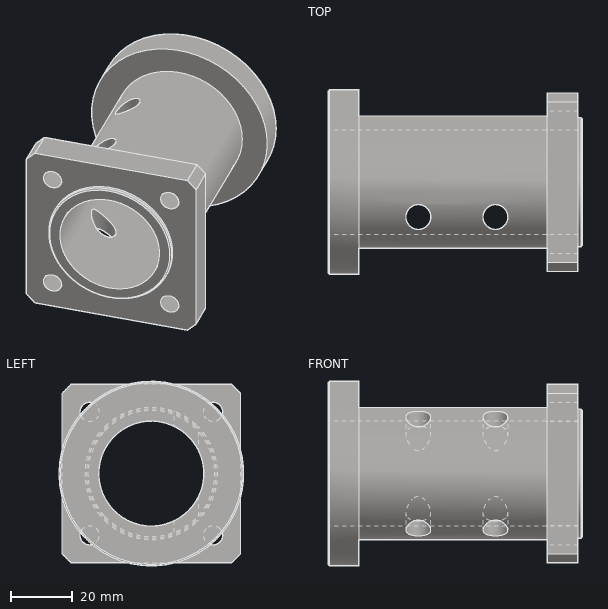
import cadquery as cq

total_length = 82.5
flange_diameter = 60.0
flange_thickness = 10.0
flange_edge_chamfer = 0.5
tube_diameter = 43.0
bore_diameter = 34.0

plate_side = 58.0
plate_thickness = 10.0
plate_corner_chamfer = 3.0
spigot_diameter = 42.0
spigot_length = 1.5
spigot_edge_chamfer = 0.5
mounting_hole_diameter = 6.2
mounting_hole_spacing = 40.0

cross_hole_diameter = 8.0
cross_hole_offset = 11.3
cross_hole_spacing = 25.0
first_cross_hole_x = 29.3

plate_end = total_length - spigot_length
plate_start = plate_end - plate_thickness


def cylinder_along_x(diameter, start, end):
    return cq.Workplane("YZ", origin=(start, 0, 0)).circle(diameter / 2).extrude(end - start)


def make_mounting_plate():
    plate = (
        cq.Workplane("YZ", origin=(plate_start, 0, 0))
        .rect(plate_side, plate_side)
        .extrude(plate_thickness)
        .edges("|X")
        .chamfer(plate_corner_chamfer)
    )
    holes = (
        cq.Workplane("YZ", origin=(plate_start, 0, 0))
        .rect(mounting_hole_spacing, mounting_hole_spacing, forConstruction=True)
        .vertices()
        .circle(mounting_hole_diameter / 2)
        .extrude(plate_thickness)
    )
    return plate.cut(holes)


def make_cross_holes():
    second_cross_hole_x = first_cross_hole_x + cross_hole_spacing
    centers = [(x, -cross_hole_offset) for x in (first_cross_hole_x, second_cross_hole_x)]
    return (
        cq.Workplane("XY")
        .pushPoints(centers)
        .circle(cross_hole_diameter / 2)
        .extrude(tube_diameter / 2, both=True)
    )


flange = cylinder_along_x(flange_diameter, 0, flange_thickness)
flange = flange.faces("<X").edges().chamfer(flange_edge_chamfer)

tube = cylinder_along_x(tube_diameter, 0, plate_end)

spigot = cylinder_along_x(spigot_diameter, plate_start, total_length)
spigot = spigot.faces(">X").edges().chamfer(spigot_edge_chamfer)

body = flange.union(tube.cut(make_cross_holes())).union(make_mounting_plate()).union(spigot)
result = body.cut(cylinder_along_x(bore_diameter, 0, total_length))